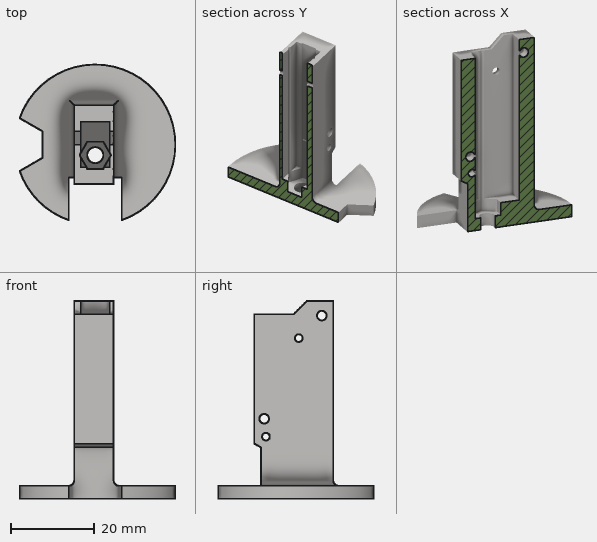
import cadquery as cq
import math

INCH = 25.4

base_radius = 19.3
base_thickness = INCH / 8

opening_half_width = 6.37
opening_back_y = -INCH * 5 / 16
notch_floor_x = -INCH / 2
notch_floor_half_width = INCH / 8
notch_rim_half_width = INCH / 4

tower_left_x = -5.1
tower_right_x = INCH * 0.175
tower_back_y = INCH * 3 / 8
tower_front_y = -tower_back_y
tower_height = INCH * 1.75
tower_top_z = base_thickness + tower_height
foot_fillet = INCH * 0.05

top_step = INCH / 8
slope_top_y = top_step

overhang = opening_back_y - tower_front_y
overhang_edge_z = 13.28
overhang_angle = 30

cavity_width = 6.95
cavity_length = 10.92
cavity_floor_z = 2 * base_thickness
screw_y = -INCH * 0.1
screw_diameter = INCH * 0.15
nut_across_flats = 6.56
nut_floor_z = base_thickness

large_pin = 2.26
small_pin = 1.8
cross_holes = [
    (6.75, 44.08, large_pin),
    (1.2, 38.67, small_pin),
    (-7.12, 19.26, large_pin),
    (-6.7, 14.95, small_pin),
]


def make_base():
    """Round plate before the opening and the notch are cut."""
    return cq.Workplane("XY").circle(base_radius).extrude(base_thickness)


def make_tower():
    """Tower side profile in the YZ plane, extruded across its width."""
    overhang_rise = overhang * math.tan(math.radians(overhang_angle))
    profile = [
        (tower_back_y, base_thickness),
        (tower_back_y, tower_top_z),
        (slope_top_y, tower_top_z),
        (slope_top_y - top_step, tower_top_z - top_step),
        (tower_front_y, tower_top_z - top_step),
        (tower_front_y, overhang_edge_z),
        (opening_back_y, overhang_edge_z - overhang_rise),
        (opening_back_y, base_thickness),
    ]
    return (
        cq.Workplane("YZ", origin=(tower_left_x, 0, 0))
        .polyline(profile)
        .close()
        .extrude(tower_right_x - tower_left_x)
    )


def make_opening():
    """Cutter for the front of the base, reaching back to the tower foot."""
    return (
        cq.Workplane("XY")
        .rect(2 * opening_half_width, base_radius)
        .extrude(base_thickness)
        .translate((0, opening_back_y - base_radius / 2, 0))
    )


def make_notch():
    """Cutter for the left notch, whose sides keep flaring past the rim."""
    rim_x = -math.sqrt(base_radius**2 - notch_rim_half_width**2)
    flare = (notch_rim_half_width - notch_floor_half_width) / (notch_floor_x - rim_x)
    outer_x = -base_radius
    outer_half_width = notch_floor_half_width + flare * (notch_floor_x - outer_x)
    return (
        cq.Workplane("XY")
        .moveTo(notch_floor_x, notch_floor_half_width)
        .lineTo(outer_x, outer_half_width)
        .lineTo(outer_x, -outer_half_width)
        .lineTo(notch_floor_x, -notch_floor_half_width)
        .close()
        .extrude(base_thickness)
    )


def make_cavity():
    """Rectangular cavity, the deeper hexagonal shaft and the screw hole."""
    cavity = (
        cq.Workplane("XY", origin=(0, 0, cavity_floor_z))
        .rect(cavity_width, cavity_length)
        .extrude(tower_top_z - cavity_floor_z)
    )
    nut_sides = 6
    nut_across_corners = nut_across_flats / math.cos(math.pi / nut_sides)
    nut_shaft = (
        cq.Workplane("XY", origin=(0, screw_y, nut_floor_z))
        .polygon(nut_sides, nut_across_corners)
        .extrude(tower_top_z - nut_floor_z)
    )
    screw_hole = (
        cq.Workplane("XY", origin=(0, screw_y, 0))
        .circle(screw_diameter / 2)
        .extrude(tower_top_z)
    )
    return cavity.union(nut_shaft).union(screw_hole)


def make_cross_hole(y, z, diameter):
    """Cutter for one hole through both side walls of the tower."""
    return (
        cq.Workplane("YZ", origin=(tower_left_x, y, z))
        .circle(diameter / 2)
        .extrude(tower_right_x - tower_left_x)
    )


def fillet_foot(body):
    """Fillet the left, right and back edges where the tower meets the base."""
    margin = base_thickness / 4
    foot_edges = cq.selectors.BoxSelector(
        (tower_left_x - margin, opening_back_y + margin, base_thickness - margin),
        (tower_right_x + margin, tower_back_y + margin, base_thickness + margin),
    )
    return body.edges("|X or |Y").edges(foot_edges).fillet(foot_fillet)


body = make_base().cut(make_opening()).union(make_tower())
body = fillet_foot(body)
body = body.cut(make_notch()).cut(make_cavity())
for y, z, diameter in cross_holes:
    body = body.cut(make_cross_hole(y, z, diameter))

result = body